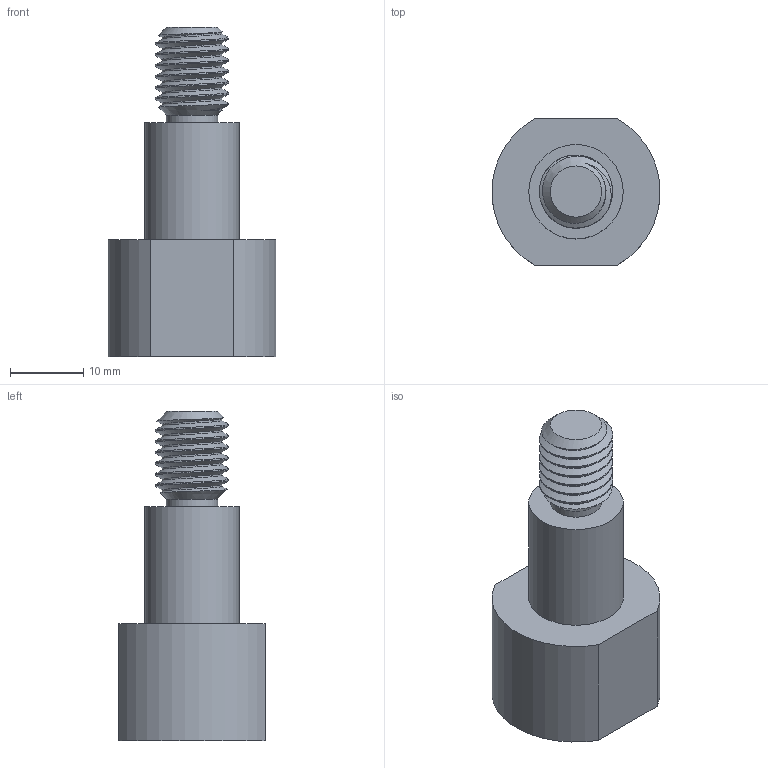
import cadquery as cq
import math

HEAD_DIAMETER = 23.0
ACROSS_FLATS = 20.0
HEAD_HEIGHT = 16.0

SHANK_DIAMETER = 12.9
SHANK_LENGTH = 16.0

NECK_DIAMETER = 7.0
NECK_LENGTH = 1.0
THREAD_DIAMETER = 10.0
TOTAL_HEIGHT = 45.0

PITCH = 1.5
GROOVE_TURNS = 7.5
FLANK_ANGLE = math.radians(30.0)
SHARP_V_HEIGHT = PITCH / (2 * math.tan(FLANK_ANGLE))
THREAD_DEPTH = SHARP_V_HEIGHT * 17 / 24
CREST_WIDTH = PITCH / 8
CUTTER_OVERLAP = 0.1

SHANK_TOP = HEAD_HEIGHT + SHANK_LENGTH
THREAD_BOTTOM = SHANK_TOP + NECK_LENGTH
THREAD_MIDDLE = (THREAD_BOTTOM + TOTAL_HEIGHT) / 2
GROOVE_START = THREAD_MIDDLE - GROOVE_TURNS * PITCH / 2
GROOVE_START_ANGLE = -90.0


def make_head():
    """Round head trimmed to the distance across its flats."""
    flats = cq.Workplane("XY").box(
        HEAD_DIAMETER, ACROSS_FLATS, HEAD_HEIGHT, centered=(True, True, False)
    )
    return cq.Workplane("XY").circle(HEAD_DIAMETER / 2).extrude(HEAD_HEIGHT).intersect(flats)


def make_shank():
    """Plain cylinder standing on the head."""
    return cq.Workplane("XY").workplane(offset=HEAD_HEIGHT).circle(SHANK_DIAMETER / 2).extrude(SHANK_LENGTH)


def make_thread_blank():
    """Neck and unthreaded end, with 45 degree chamfers down to the neck diameter."""
    neck_radius = NECK_DIAMETER / 2
    thread_radius = THREAD_DIAMETER / 2
    chamfer = thread_radius - neck_radius
    half_profile = [
        (0, SHANK_TOP),
        (-neck_radius, SHANK_TOP),
        (-neck_radius, THREAD_BOTTOM),
        (-thread_radius, THREAD_BOTTOM + chamfer),
        (-thread_radius, TOTAL_HEIGHT - chamfer),
        (-neck_radius, TOTAL_HEIGHT),
        (0, TOTAL_HEIGHT),
    ]
    return cq.Workplane("XZ").polyline(half_profile).close().revolve(360, (0, 0), (0, 1))


def make_thread_groove():
    """Helical trapezoid cutter running out through both chamfers."""
    root_radius = THREAD_DIAMETER / 2 - THREAD_DEPTH
    outer_radius = THREAD_DIAMETER / 2 + CUTTER_OVERLAP
    outer_half_width = (PITCH - CREST_WIDTH) / 2 + CUTTER_OVERLAP * math.tan(FLANK_ANGLE)
    root_half_width = (PITCH - CREST_WIDTH) / 2 - THREAD_DEPTH * math.tan(FLANK_ANGLE)
    helix = cq.Wire.makeHelix(
        PITCH, GROOVE_TURNS * PITCH, root_radius, center=cq.Vector(0, 0, GROOVE_START)
    )
    section = [
        (root_radius, GROOVE_START - root_half_width),
        (outer_radius, GROOVE_START - outer_half_width),
        (outer_radius, GROOVE_START + outer_half_width),
        (root_radius, GROOVE_START + root_half_width),
    ]
    groove = cq.Workplane("XZ").polyline(section).close().sweep(cq.Workplane(helix), isFrenet=True)
    return groove.rotate((0, 0, 0), (0, 0, 1), GROOVE_START_ANGLE)


threaded_end = make_thread_blank().cut(make_thread_groove())
result = make_head().union(make_shank()).union(threaded_end)